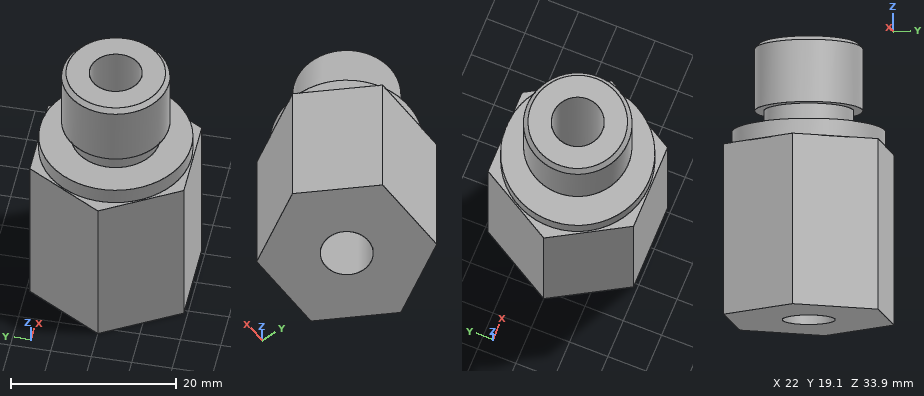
import cadquery as cq
import math

hex_across_flats = 19.05
hex_height = 21.0

total_height = 33.88
collar_diameter = 18.7
collar_height = 2.1
neck_diameter = 10.9
neck_height = 2.58
spigot_diameter = 13.157
spigot_chamfer = 0.55

bore_diameter = 6.4

hex_sides = 6
hex_across_corners = hex_across_flats / math.cos(math.pi / hex_sides)
spigot_height = total_height - hex_height - collar_height - neck_height


def cylinder_on_top(body, diameter, height):
    """Add a coaxial cylinder on the highest face of the body."""
    return body.faces(">Z").workplane().circle(diameter / 2).extrude(height)


body = cq.Workplane("XY").polygon(hex_sides, hex_across_corners).extrude(hex_height)

body = cylinder_on_top(body, collar_diameter, collar_height)
body = cylinder_on_top(body, neck_diameter, neck_height)
body = cylinder_on_top(body, spigot_diameter, spigot_height)

body = body.faces(">Z").edges().chamfer(spigot_chamfer)

result = body.faces(">Z").workplane().circle(bore_diameter / 2).cutThruAll()